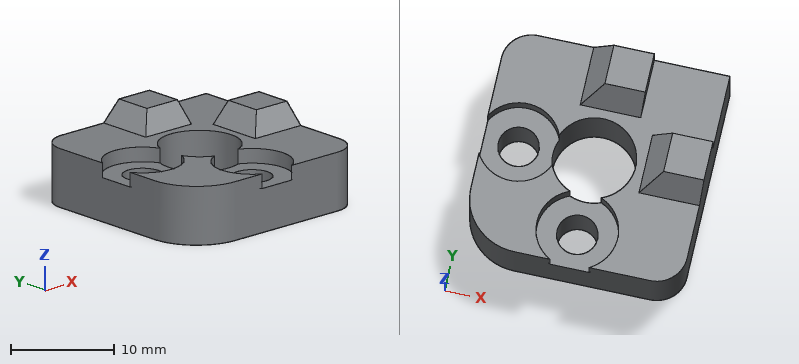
import cadquery as cq

side = 22.0
half = side / 2
plate_height = 6.0
large_corner_radius = 5.5
small_corner_radius = 3.0

center_bore_diameter = 8.2
screw_hole_diameter = 4.0
counterbore_diameter = 2 * screw_hole_diameter
counterbore_depth = 1.5
screw_offset = 7.5

block_side = 6.0
block_height = 2.0
block_start = -2.5


def make_plate():
    """Plate with three rounded corners; the +X +Y corner stays sharp."""
    plate = cq.Workplane("XY").box(side, side, plate_height, centered=(True, True, False))
    plate = plate.edges("|Z and (<X and <Y)").fillet(large_corner_radius)
    for corner in ((half, -half), (-half, half)):
        selector = cq.selectors.NearestToPointSelector((*corner, plate_height / 2))
        plate = plate.edges("|Z").edges(selector).fillet(small_corner_radius)
    return plate


def make_block(x_start, y_start):
    """Block standing on the plate, sloped on its -X and -Y sides."""
    block = cq.Workplane("XY").box(block_side, block_side, block_height, centered=False)
    slope_profile = [(0, 0), (block_height, block_height), (0, block_height)]
    x_slope = cq.Workplane("XZ").polyline(slope_profile).close().extrude(-block_side)
    y_slope = cq.Workplane("YZ").polyline(slope_profile).close().extrude(block_side)
    return block.cut(x_slope).cut(y_slope).translate((x_start, y_start, plate_height))


result = make_plate()

result = result.faces(">Z").workplane(origin=(0, 0, plate_height)).hole(center_bore_diameter)
result = (
    result.faces(">Z")
    .workplane(origin=(0, 0, plate_height))
    .pushPoints([(-screw_offset, 0), (0, -screw_offset)])
    .cboreHole(screw_hole_diameter, counterbore_diameter, counterbore_depth)
)

flush_start = half - block_side
for x_start, y_start in ((block_start, flush_start), (flush_start, block_start)):
    result = result.union(make_block(x_start, y_start))